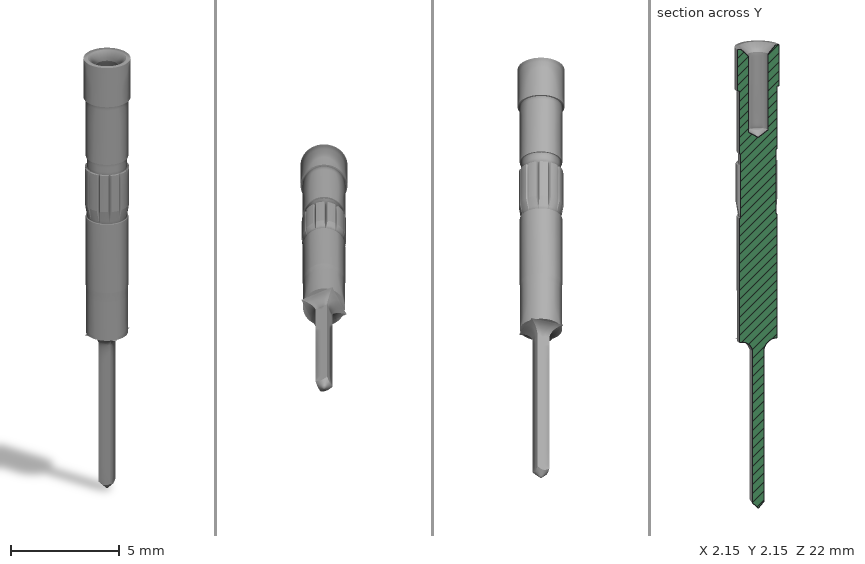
import cadquery as cq
import math

LENGTH = 22.0

COLLAR_DIAMETER = 2.15
BODY_DIAMETER = 1.95
LOWER_DIAMETER = 1.94
NECK_DIAMETER = 1.83
KNURL_DIAMETER = 2.05

COLLAR_BOTTOM_Z = LENGTH - 2.0
NECK_TOP_Z = LENGTH - 5.0
KNURL_TOP_Z = LENGTH - 5.55
KNURL_BOTTOM_Z = LENGTH - 7.4
LOWER_TOP_Z = LENGTH - 8.05
TAPER_TOP_Z = LENGTH - 11.55
TAPER_BOTTOM_Z = LENGTH - 12.01
BODY_BOTTOM_Z = LENGTH - 14.0

GROOVE_COUNT = 12
GROOVE_WIDTH = 0.15

MOUTH_DIAMETER = 1.75
BORE_DIAMETER = 1.0
MOUTH_ANGLE = 90.0
BORE_DEPTH = 4.0
DRILL_ANGLE = 118.0

PIN_WIDTH = 0.6
TIP_ANGLE = 90.0
ROOT_HEIGHT = 0.48
ROOT_MID_INSET = 0.165


def cone_height(diameter_change, included_angle):
    """Axial height over which a cone of this included angle changes diameter."""
    return diameter_change / 2 / math.tan(math.radians(included_angle / 2))


def make_body():
    outline = [
        (0, BODY_BOTTOM_Z),
        (LOWER_DIAMETER / 2, BODY_BOTTOM_Z),
        (LOWER_DIAMETER / 2, TAPER_BOTTOM_Z),
        (BODY_DIAMETER / 2, TAPER_TOP_Z),
        (BODY_DIAMETER / 2, LOWER_TOP_Z),
        (NECK_DIAMETER / 2, LOWER_TOP_Z),
        (KNURL_DIAMETER / 2, KNURL_BOTTOM_Z),
        (KNURL_DIAMETER / 2, KNURL_TOP_Z),
        (NECK_DIAMETER / 2, KNURL_TOP_Z),
        (NECK_DIAMETER / 2, NECK_TOP_Z),
        (BODY_DIAMETER / 2, NECK_TOP_Z),
        (BODY_DIAMETER / 2, COLLAR_BOTTOM_Z),
        (COLLAR_DIAMETER / 2, COLLAR_BOTTOM_Z),
        (COLLAR_DIAMETER / 2, LENGTH),
        (0, LENGTH),
    ]
    return cq.Workplane("XZ").polyline(outline).close().revolve(360, (0, 0), (0, 1))


def make_knurl_grooves():
    """V grooves whose bottoms touch the neck surface, spaced evenly around Z."""
    bottom_radius = NECK_DIAMETER / 2
    crest_radius = KNURL_DIAMETER / 2
    outer_radius = bottom_radius + 2 * (crest_radius - bottom_radius)
    groove = (
        cq.Workplane("XY", origin=(0, 0, LOWER_TOP_Z))
        .polyline([(bottom_radius, 0), (outer_radius, GROOVE_WIDTH), (outer_radius, -GROOVE_WIDTH)])
        .close()
        .extrude(KNURL_TOP_Z - LOWER_TOP_Z)
    )
    grooves = cq.Workplane("XY")
    for index in range(GROOVE_COUNT):
        turned = groove.rotate((0, 0, 0), (0, 0, 1), index * 360 / GROOVE_COUNT)
        grooves = grooves.add(turned)
    return grooves.combine()


def make_bore():
    mouth_bottom_z = LENGTH - cone_height(MOUTH_DIAMETER - BORE_DIAMETER, MOUTH_ANGLE)
    bore_bottom_z = LENGTH - BORE_DEPTH
    outline = [
        (0, LENGTH),
        (MOUTH_DIAMETER / 2, LENGTH),
        (BORE_DIAMETER / 2, mouth_bottom_z),
        (BORE_DIAMETER / 2, bore_bottom_z),
        (0, bore_bottom_z - cone_height(BORE_DIAMETER, DRILL_ANGLE)),
    ]
    return cq.Workplane("XZ").polyline(outline).close().revolve(360, (0, 0), (0, 1))


def make_pin():
    """Square shaft trimmed by a cone, which leaves a curved edge on each flat."""
    shaft = cq.Workplane("XY").rect(PIN_WIDTH, PIN_WIDTH).extrude(BODY_BOTTOM_Z)
    cone_end_z = cone_height(2 * PIN_WIDTH, TIP_ANGLE)
    outline = [
        (0, 0),
        (PIN_WIDTH, cone_end_z),
        (PIN_WIDTH, BODY_BOTTOM_Z),
        (0, BODY_BOTTOM_Z),
    ]
    envelope = cq.Workplane("XZ").polyline(outline).close().revolve(360, (0, 0), (0, 1))
    return shaft.intersect(envelope)


def make_root():
    """Concave arc-shaped flare on all four sides of the pin, mitred at its corners."""
    half_pin = PIN_WIDTH / 2
    half_flare = half_pin + ROOT_HEIGHT
    root_z = BODY_BOTTOM_Z - ROOT_HEIGHT

    def flare(plane):
        return (
            cq.Workplane(plane)
            .moveTo(-half_pin, root_z)
            .lineTo(half_pin, root_z)
            .threePointArc(
                (half_pin + ROOT_MID_INSET, BODY_BOTTOM_Z - ROOT_MID_INSET), (half_flare, BODY_BOTTOM_Z)
            )
            .lineTo(-half_flare, BODY_BOTTOM_Z)
            .threePointArc((-half_pin - ROOT_MID_INSET, BODY_BOTTOM_Z - ROOT_MID_INSET), (-half_pin, root_z))
            .close()
            .extrude(half_flare, both=True)
        )

    return flare("XZ").intersect(flare("YZ"))


result = make_body().cut(make_knurl_grooves()).cut(make_bore())
result = result.union(make_pin()).union(make_root())